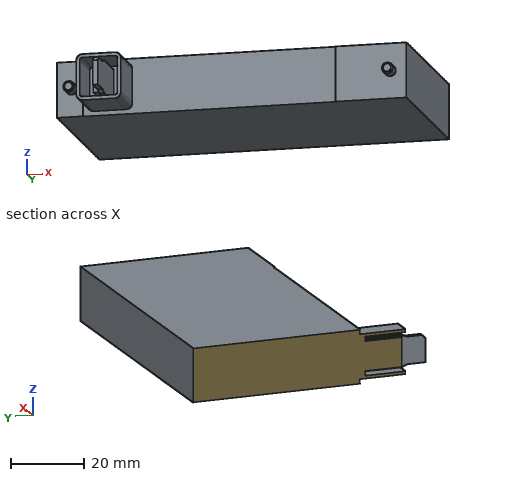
import cadquery as cq

body_length = 98.0
body_depth = 49.2
body_height = 15.5
middle_z = body_height / 2
panel_left = 7.3
panel_right = 78.1
panel_setback = 0.3

pin_diameter = 3.0
pin_reach = 3.8
pin_chamfer = 0.4
pin_positions_x = (4.1, 93.5)

housing_left = 8.5
housing_width = 12.5
housing_height = 12.9
housing_reach = 12.9
housing_wall = 1.0
housing_corner_radius = 1.8
housing_floor = 1.0
housing_center_x = housing_left + housing_width / 2
cavity_floor_y = -panel_setback - housing_floor

blade_left = 14.7
blade_thickness = 1.5
blade_reach = 19.2
blade_root_height = 9.2
blade_tip_height = 7.8
taper_start_y = -12.0
taper_end_y = -13.8
tip_bevel = 1.0

rib_width = 1.6
rib_height = 8.6
rib_reach = 12.0


def box_between(x_range, y_range, z_range):
    """Box spanning the given coordinate ranges."""
    (x0, x1), (y0, y1), (z0, z1) = x_range, y_range, z_range
    return cq.Workplane("XY").box(x1 - x0, y1 - y0, z1 - z0, centered=False).translate((x0, y0, z0))


def make_body():
    body = box_between((0, body_length), (0, body_depth), (0, body_height))
    recess = box_between((panel_left, panel_right), (0, panel_setback), (0, body_height))
    return body.cut(recess)


def make_pin(center_x):
    return (
        cq.Workplane("XZ", origin=(center_x, 0, middle_z))
        .circle(pin_diameter / 2)
        .extrude(pin_reach)
        .faces("<Y")
        .chamfer(pin_chamfer)
    )


def rounded_block(width, height, corner_radius, back_y, front_y):
    """Block along Y, centred on the housing axis, with rounded long edges."""
    return (
        cq.Workplane("XZ", origin=(housing_center_x, back_y, middle_z))
        .rect(width, height)
        .extrude(back_y - front_y)
        .edges("|Y")
        .fillet(corner_radius)
    )


def make_housing():
    shell = rounded_block(
        housing_width, housing_height, housing_corner_radius, panel_setback, -housing_reach
    )
    cavity = rounded_block(
        housing_width - 2 * housing_wall,
        housing_height - 2 * housing_wall,
        housing_corner_radius - housing_wall,
        cavity_floor_y,
        -housing_reach,
    )
    return shell.cut(cavity)


def make_blade():
    root = blade_root_height / 2
    tip = blade_tip_height / 2
    outline = [
        (0, middle_z - root),
        (taper_start_y, middle_z - root),
        (taper_end_y, middle_z - tip),
        (-blade_reach, middle_z - tip),
        (-blade_reach, middle_z + tip - tip_bevel),
        (-blade_reach + tip_bevel, middle_z + tip),
        (taper_end_y, middle_z + tip),
        (taper_start_y, middle_z + root),
        (0, middle_z + root),
    ]
    return cq.Workplane("YZ", origin=(blade_left, 0, 0)).polyline(outline).close().extrude(blade_thickness)


def make_rib():
    return box_between(
        (blade_left - rib_width, blade_left),
        (-rib_reach, 0),
        (middle_z - rib_height / 2, middle_z + rib_height / 2),
    )


result = make_body().union(make_housing()).union(make_blade()).union(make_rib())
for pin_x in pin_positions_x:
    result = result.union(make_pin(pin_x))